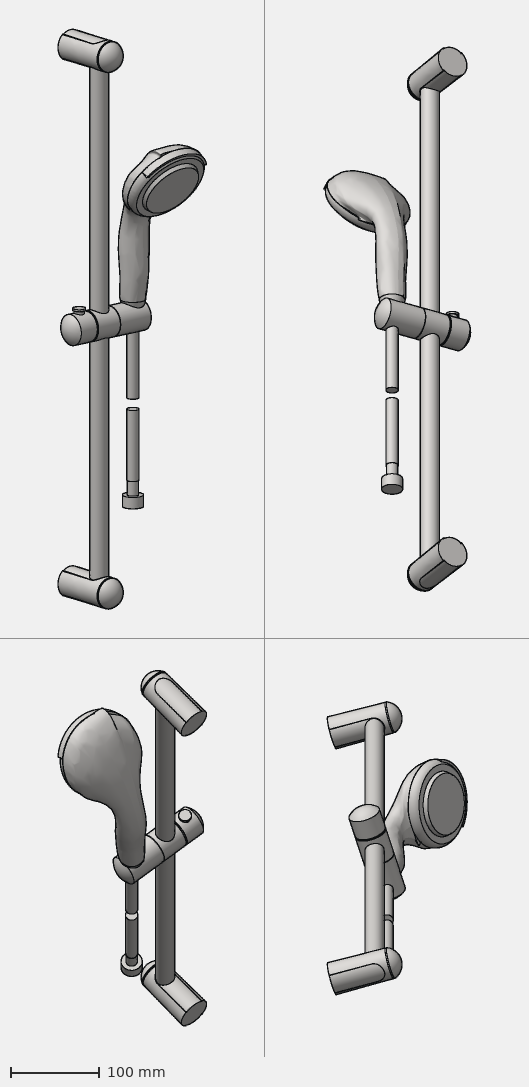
import cadquery as cq
import math

overall_height = 661.32

rail_x = 50.0
rail_diameter = 21.8
bracket_diameter = 36.0
bracket_wall_diameter = 37.6
bracket_barrel_length = 67.5
bracket_length = 81.5
end_groove_width = 1.6
end_groove_depth = 0.5
slot_width = 23.0
slot_insert_diameter = 35.8
bracket_z = (overall_height - bracket_diameter) / 2

slider_z = -2.2
slider_diameter = 36.0
hand_shower_y = 49.5
slider_knob_y = -41.5
slider_knob_dome = 8.0
slider_socket_y = 61.5
slider_socket_dome = 7.0
knob_groove_y = -16.8
holder_seam_y = 16.3
seam_width = 0.4
seam_depth = 0.2

button_y = -29.5
button_diameter = 14.7
button_neck_diameter = 12.0
button_top_z = 21.3
button_cap_thickness = 2.6

grip_base_z = 18.0
grip_base_radius = 14.6
grip_nose_z = 6.0
grip_nose_radius = 11.5
head_center = (105.3, 167.7)
head_tilt = 57.6
head_diameter = 99.8
seam_diameter = 99.2
rim_straight = 2.0
rim_depth = 11.5
rim_front_diameter = 90.0
spray_plate_diameter = 74.0
spray_plate_front_diameter = 70.0
head_depth = 16.5
lever_depth = 9.5
lever_diameter = 100.6
lever_start = 24.0

hose_diameter = 14.0
upper_hose_end_z = -97.0
lower_hose_top_z = -110.0
ferrule_top_z = -193.0
ferrule_diameter = 13.0
nut_top_z = -210.0
nut_bottom_z = -223.5
nut_diameter = 24.0


def cylinder_z(diameter, z_low, z_high, x=rail_x, y=0.0):
    """Upright cylinder between two heights."""
    return cq.Workplane("XY", origin=(x, y, z_low)).circle(diameter / 2).extrude(z_high - z_low)


def dome_profile(sketch, radius, rim, apex):
    """Arc from (rim, radius) to (apex, 0) on a sphere centred on the axis."""
    rise = apex - rim
    sphere_radius = (radius**2 + rise**2) / (2 * abs(rise))
    centre = apex - math.copysign(sphere_radius, rise)
    half_angle = math.asin(min(1.0, radius / sphere_radius)) / 2
    mid = (centre + math.copysign(sphere_radius * math.cos(half_angle), rise),
           sphere_radius * math.sin(half_angle))
    return sketch.threePointArc(mid, (apex, 0))


def bracket(z):
    """Wall bracket along X: tapered barrel, grooved domed cap and a filled rail slot."""
    r = bracket_diameter / 2
    wall_r = bracket_wall_diameter / 2
    cap_start = bracket_barrel_length + end_groove_width
    profile = cq.Workplane("XY", origin=(0, 0, z)).moveTo(0, 0).lineTo(0, wall_r)
    profile = profile.lineTo(rail_x + slot_width / 2, r).lineTo(bracket_barrel_length, r)
    profile = profile.lineTo(bracket_barrel_length, r - end_groove_depth)
    profile = profile.lineTo(cap_start, r - end_groove_depth).lineTo(cap_start, r)
    profile = dome_profile(profile, r, cap_start, bracket_length)
    body = profile.close().revolve(360, (0, 0, 0), (1, 0, 0))
    slot = (
        cq.Workplane("XY", origin=(rail_x / 2, 0, z)).box(rail_x, slot_width, bracket_wall_diameter)
        .union(cylinder_z(slot_width, z - wall_r, z + wall_r))
    )
    insert = cq.Workplane("YZ", origin=(0, 0, z)).circle(slot_insert_diameter / 2).extrude(bracket_length)
    return body.cut(slot.cut(insert))


def slider():
    """Clamping barrel along Y with two domed ends, ring grooves and a release button."""
    r = slider_diameter / 2
    axis_plane = cq.Workplane("YX", origin=(rail_x, 0, slider_z))
    barrel = axis_plane.moveTo(slider_knob_y, 0).lineTo(slider_knob_y, r).lineTo(slider_socket_y, r)
    barrel = dome_profile(barrel, r, slider_socket_y, slider_socket_y + slider_socket_dome)
    body = barrel.close().revolve(360, (0, 0, 0), (1, 0, 0))
    knob_plane = cq.Workplane("YX", origin=(rail_x, 0, slider_z))
    knob = knob_plane.moveTo(slider_knob_y, 0).lineTo(slider_knob_y, r)
    knob = dome_profile(knob, r, slider_knob_y, slider_knob_y - slider_knob_dome)
    body = body.union(knob.close().revolve(360, (0, 0, 0), (1, 0, 0)))
    for y, width, depth in ((knob_groove_y, end_groove_width, end_groove_depth),
                            (holder_seam_y, seam_width, seam_depth)):
        ring_plane = cq.Workplane("XZ", origin=(rail_x, y + width / 2, slider_z))
        body = body.cut(ring_plane.circle(r).circle(r - depth).extrude(width))
    neck = cylinder_z(button_neck_diameter, slider_z, button_top_z, y=button_y)
    cap = cylinder_z(button_diameter, button_top_z - button_cap_thickness, button_top_z, y=button_y)
    return body.union(neck).union(cap)


tilt = math.radians(head_tilt)
head_rise = (math.cos(tilt), math.sin(tilt))
head_radius = head_diameter / 2
seam_radius = seam_diameter / 2
seam_inner = tuple(c - seam_radius * d for c, d in zip(head_center, head_rise))
seam_outer = tuple(c + seam_radius * d for c, d in zip(head_center, head_rise))

half_section_steps = 6
grip_sections = [
    ((rail_x + grip_base_radius, grip_base_z), (rail_x - grip_base_radius, grip_base_z), grip_base_radius),
    ((67.3, 38), (36, 38), 16.4),
    ((69, 60), (35.5, 60), 17.3),
    ((69.5, 115), (46, 127), 19.0),
    ((73.5, 121), (62, 158), 27.0),
    ((76.5, 124), (80, 182), 39.0),
    ((78, 125), (100, 202), 46.0),
    (seam_inner, seam_outer, seam_radius),
]


def section_wire(inner, outer, half_width):
    """Elliptical section in two halves that meet at its outer and inner edges."""
    centre = cq.Vector((inner[0] + outer[0]) / 2, hand_shower_y, (inner[1] + outer[1]) / 2)
    across = cq.Vector(outer[0], hand_shower_y, outer[1]) - centre
    sideways = cq.Vector(0, half_width, 0)
    halves = []
    for start in (0, math.pi):
        angles = [start + math.pi * i / half_section_steps for i in range(half_section_steps + 1)]
        points = [centre + across * math.cos(a) + sideways * math.sin(a) for a in angles]
        leaving = sideways * math.cos(start)
        halves.append(cq.Edge.makeSpline(points, tangents=[leaving, leaving * -1]))
    return cq.Wire.assembleEdges(halves)


def hand_shower():
    """Lofted grip and dome, conical nose, rounded rim with spray plate, and selector lever."""
    grip = cq.Workplane(cq.Solid.makeLoft([section_wire(*s) for s in grip_sections]))
    nose = cq.Workplane(cq.Solid.makeCone(
        grip_nose_radius, grip_base_radius, grip_base_z - grip_nose_z,
        pnt=cq.Vector(rail_x, hand_shower_y, grip_nose_z)))
    face_plane = cq.Plane(
        origin=(head_center[0], hand_shower_y, head_center[1]),
        xDir=(head_rise[0], 0, head_rise[1]), normal=(0, -1, 0))
    rim = (
        cq.Workplane(face_plane).moveTo(0, 0).lineTo(head_radius, 0).lineTo(head_radius, -rim_straight)
        .tangentArcPoint((rim_front_diameter / 2, -rim_depth), relative=False)
        .lineTo(spray_plate_diameter / 2, -rim_depth)
        .lineTo(spray_plate_front_diameter / 2, -head_depth).lineTo(0, -head_depth).close()
        .revolve(360, (0, 0, 0), (0, 1, 0))
    )
    lever_disc = (
        cq.Workplane(face_plane).rect(lever_diameter / 2, -lever_depth, centered=False)
        .revolve(360, (0, 0, 0), (0, 1, 0))
    )
    lever_region = (
        cq.Workplane(face_plane).center(lever_start + head_radius, 0)
        .rect(head_diameter, 2 * head_diameter).extrude(head_diameter, both=True)
    )
    head = rim.union(lever_disc.intersect(lever_region))
    return grip.union(nose).union(head)


def rail_set():
    """Rail with brackets, slider, hand shower and the upper piece of hose, as one body."""
    rail = cylinder_z(rail_diameter, -bracket_z, bracket_z)
    hose = cylinder_z(hose_diameter, upper_hose_end_z, slider_z, y=hand_shower_y)
    body = rail.union(slider()).union(hose).union(hand_shower())
    for z in (-bracket_z, bracket_z):
        body = body.union(bracket(z))
    return body


def lower_hose():
    """Lower piece of hose with its ferrule and nut."""
    hose = cylinder_z(hose_diameter, ferrule_top_z, lower_hose_top_z, y=hand_shower_y)
    ferrule = cylinder_z(ferrule_diameter, nut_top_z, ferrule_top_z, y=hand_shower_y)
    nut = cylinder_z(nut_diameter, nut_bottom_z, nut_top_z, y=hand_shower_y)
    return hose.union(ferrule).union(nut)


result = cq.Compound.makeCompound([rail_set().val(), lower_hose().val()])